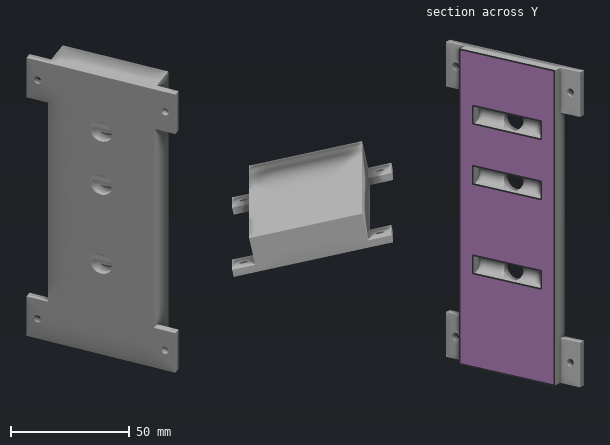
import cadquery as cq

width = 69.0
depth = 15.0
height = 141.0

tab_reach = 10.0
tab_height = 20.0
tab_thickness = 3.1
block_width = width - 2 * tab_reach

screw_diameter = 3.5
screw_side_inset = 5.0
screw_end_inset = 10.0

window_diameter = 10.0
window_drops = (28.0, 55.0, 95.0)
chamber_diameter = 8.2
window_depth = 5.5
chamber_length = 35.0
chamber_depth = 6.5


def make_block():
    return cq.Workplane("XY").box(block_width, depth, height, centered=(True, False, True))


def make_tabs(side):
    """The pair of tabs at one end: side is 1 for the top, -1 for the bottom."""
    center_z = side * (height - tab_height) / 2
    return (
        cq.Workplane("XY")
        .box(width, tab_thickness, tab_height, centered=(True, False, True))
        .translate((0, 0, center_z))
    )


def make_screw_holes():
    return (
        cq.Workplane("XZ")
        .rect(width - 2 * screw_side_inset, height - 2 * screw_end_inset, forConstruction=True)
        .vertices()
        .circle(screw_diameter / 2)
        .extrude(-tab_thickness)
    )


def make_chamber(drop):
    """A closed chamber along X with a round window in the front face."""
    center_z = height / 2 - drop
    chamber = (
        cq.Workplane("YZ")
        .center(chamber_depth, center_z)
        .circle(chamber_diameter / 2)
        .extrude(chamber_length / 2, both=True)
    )
    window = (
        cq.Workplane("XZ")
        .center(0, center_z)
        .circle(window_diameter / 2)
        .extrude(-window_depth)
    )
    return chamber.union(window)


result = make_block()
for end in (1, -1):
    result = result.union(make_tabs(end))
result = result.cut(make_screw_holes())
for window_drop in window_drops:
    result = result.cut(make_chamber(window_drop))